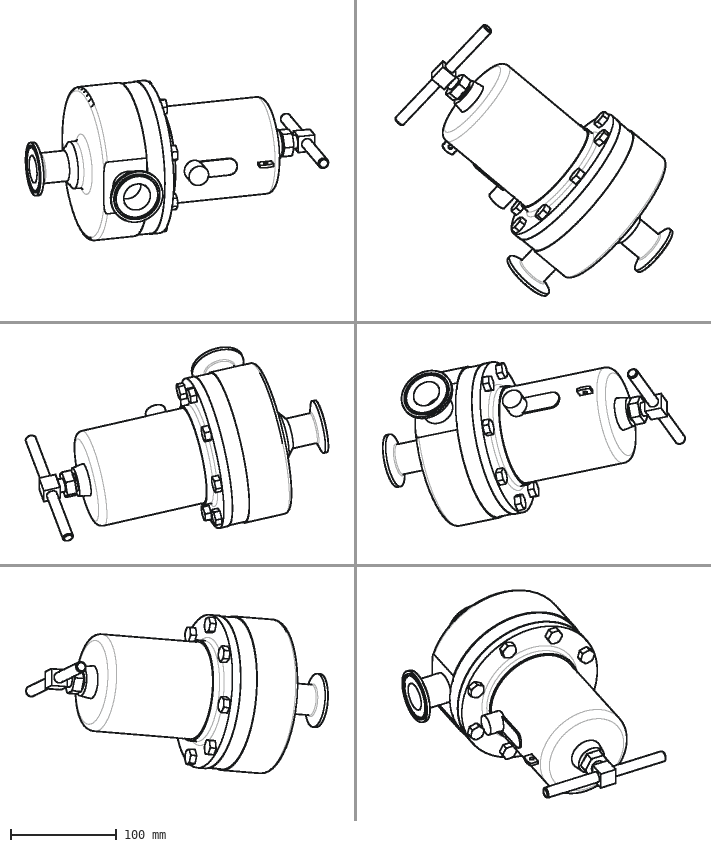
import cadquery as cq
import math

TOTAL_LENGTH = 276.0
TOTAL_WIDTH = 173.0
FRONT_Y = -TOTAL_LENGTH / 2

PIPE_R = 14.5
BORE_R = 26.2 / 2
FERRULE_R = 25.5
FERRULE_RIM = 3.0
FERRULE_LENGTH = 7.2
FERRULE_FILLET = 1.5
GASKET_GROOVE_INNER_R = 20.7
GASKET_GROOVE_OUTER_R = 22.5
GASKET_GROOVE_DEPTH = 1.0

INLET_PIPE_END = 31.7
HUB_R = 22.4
HUB_START = 38.0
HUB_FILLET = 6.3

BODY_R = 146.5 / 2
BODY_START = 49.7
BODY_END = 92.2
BODY_FILLET = 3.3
BODY_FLAT_X = 68.5
RING_R = 72.3
RING_END = 108.8
FLANGE_R = 73.0
FLANGE_END = 117.3

OUTLET_FACE_X = TOTAL_WIDTH - BODY_R
OUTLET_Y = FRONT_Y + 73.1

COLLAR_R = 48.0
COLLAR_END = 126.7
COLLAR_FILLET = 3.3
BONNET_R = 92.5 / 2
BONNET_END = 231.5
BONNET_FILLET = 6.3
CONE_BASE_R = 31.2 / 2
CONE_TOP_R = 13.8
CONE_END = 242.3
NECK_R = 8.5

NUT_START = 244.8
NUT_END = 254.2
NUT_ACROSS_FLATS = 22.5
NUT_CORNER_R = NUT_ACROSS_FLATS / math.sqrt(3)
NUT_CHAMFER = 0.8
STEM_R = 13.0 / 2
BLOCK_SIDE = 16.3
HANDLE_R = 10.2 / 2
HANDLE_LENGTH = 127.5
HANDLE_CHAMFER = 1.0
HANDLE_Y = FRONT_Y + 268.3

BOLT_COUNT = 8
BOLT_CIRCLE_R = 64.0
BOLT_CORNER_R = 7.7
BOLT_HEIGHT = 6.0
BOLT_CHAMFER = 0.5
BOLT_TURN = -7.5

PORT_R = 9.7
PORT_END_X = 61.8
PORT_Y = FRONT_Y + 145.5
PAD_R = COLLAR_R
PAD_WIDTH = 16.5
PAD_TOP_Y = FRONT_Y + 187.7
LUG_Y = FRONT_Y + 215.0
LUG_WIDTH = 13.2
LUG_THICKNESS = 2.8
LUG_SHOULDER_X = 54.0
LUG_TIP_X = 55.5
LUG_HOLE_X = 49.7
LUG_HOLE_R = 2.0


def facing_y(distance):
    """Workplane facing +Y, at a distance from the inlet face."""
    return cq.Workplane(cq.Plane((0, FRONT_Y + distance, 0), xDir=(1, 0, 0), normal=(0, 1, 0)))


def facing_x(y):
    """Workplane through the valve axis facing +X, at the given Y."""
    return cq.Workplane(cq.Plane((0, y, 0), xDir=(0, 1, 0), normal=(1, 0, 0)))


def disc(start, end, radius):
    return facing_y(start).circle(radius).extrude(end - start)


def cone(face, length, start_radius, end_radius):
    plane = face.plane
    return cq.Workplane(cq.Solid.makeCone(start_radius, end_radius, length, plane.origin, plane.zDir))


def flared_base(base_distance, direction, radius, fillet):
    """Concave fillet ring around a cylinder; direction is +1 or -1 along Y, away from the base."""
    tip = (radius, direction * fillet)
    middle_offset = fillet * (1 - math.sqrt(0.5))
    middle = (radius + middle_offset, direction * middle_offset)
    return (
        cq.Workplane("XY", origin=(0, FRONT_Y + base_distance, 0))
        .lineTo(radius + fillet, 0)
        .threePointArc(middle, tip)
        .lineTo(0, direction * fillet)
        .close()
        .revolve(360, (0, 0), (0, 1))
    )


def hexagon(base, corner_radius, height, chamfer):
    """Hexagonal prism whose +Y corners are turned down to a cone."""
    prism = base.polygon(6, 2 * corner_radius).extrude(height)
    turned = base.circle(corner_radius).extrude(height).faces(">Y").edges().chamfer(chamfer)
    return prism.intersect(turned)


def ferrule(face, pipe_length):
    """Pipe ending in a clamp ferrule; the workplane is the sealing face and looks into the pipe."""
    taper_face = face.workplane(offset=FERRULE_RIM)
    pipe = face.circle(PIPE_R).extrude(pipe_length)
    rim = face.circle(FERRULE_R).extrude(FERRULE_RIM)
    taper = cone(taper_face, FERRULE_LENGTH - FERRULE_RIM, FERRULE_R, PIPE_R)
    groove = face.circle(GASKET_GROOVE_OUTER_R).circle(GASKET_GROOVE_INNER_R).extrude(GASKET_GROOVE_DEPTH)
    blend_centre = face.workplane(offset=FERRULE_LENGTH).plane.origin
    blend_edge = cq.selectors.NearestToPointSelector(blend_centre.toTuple())
    return pipe.union(rim).union(taper).edges(blend_edge).fillet(FERRULE_FILLET).cut(groove)


def inlet():
    cone_length = HUB_START - INLET_PIPE_END
    return (
        ferrule(facing_y(0), INLET_PIPE_END)
        .union(cone(facing_y(INLET_PIPE_END), cone_length, PIPE_R, HUB_R))
        .union(disc(HUB_START, BODY_START, HUB_R))
        .union(flared_base(BODY_START, -1, HUB_R, HUB_FILLET))
    )


def body():
    housing = disc(BODY_START, BODY_END, BODY_R).faces("<Y").edges().fillet(BODY_FILLET)
    beyond_flat = facing_x(0).workplane(offset=BODY_FLAT_X).rect(TOTAL_LENGTH, 2 * BODY_R).extrude(BODY_R)
    ring = disc(BODY_END, RING_END, RING_R)
    flange = disc(RING_END, FLANGE_END, FLANGE_R)
    return housing.cut(beyond_flat).union(ring).union(flange)


def bonnet():
    shell = disc(FLANGE_END, BONNET_END, BONNET_R).faces(">Y").edges().fillet(BONNET_FILLET)
    return (
        shell.union(disc(FLANGE_END, COLLAR_END, COLLAR_R))
        .union(flared_base(FLANGE_END, 1, COLLAR_R, COLLAR_FILLET))
        .union(cone(facing_y(BONNET_END), CONE_END - BONNET_END, CONE_BASE_R, CONE_TOP_R))
        .union(disc(CONE_END, NUT_START, NECK_R))
    )


def handle():
    nut = hexagon(facing_y(NUT_START), NUT_CORNER_R, NUT_END - NUT_START, NUT_CHAMFER)
    stem = disc(NUT_END, TOTAL_LENGTH - BLOCK_SIDE, STEM_R)
    block = facing_y(TOTAL_LENGTH - BLOCK_SIDE).rect(BLOCK_SIDE, BLOCK_SIDE).extrude(BLOCK_SIDE)
    bar = facing_x(HANDLE_Y).circle(HANDLE_R).extrude(HANDLE_LENGTH / 2, both=True)
    bar = bar.faces("<X or >X").edges().chamfer(HANDLE_CHAMFER)
    return nut.union(stem).union(block).union(bar)


def bolt_heads():
    head = hexagon(facing_y(FLANGE_END), BOLT_CORNER_R, BOLT_HEIGHT, BOLT_CHAMFER)
    axis_start = (0, 0, 0)
    axis_end = (0, 1, 0)
    pitch = 360 / BOLT_COUNT
    heads = cq.Workplane()
    for index in range(BOLT_COUNT):
        placed = (
            head.rotate(axis_start, axis_end, BOLT_TURN)
            .translate((BOLT_CIRCLE_R, 0, 0))
            .rotate(axis_start, axis_end, (index + 0.5) * pitch)
        )
        heads = heads.add(placed)
    return heads.combine()


def port():
    return facing_x(PORT_Y).circle(PORT_R).extrude(PORT_END_X)


def curved_pad():
    """Thin round-ended pad that follows the bonnet, from the port towards the handle."""
    straight = PAD_TOP_Y - PAD_WIDTH / 2 - PORT_Y
    column = (
        facing_x(PORT_Y + straight / 2)
        .slot2D(straight + PAD_WIDTH, PAD_WIDTH)
        .extrude(PAD_R)
    )
    return column.intersect(disc(FLANGE_END, BONNET_END, PAD_R))


def lug():
    half = LUG_WIDTH / 2
    plate = (
        cq.Workplane("XY", origin=(0, LUG_Y, 0))
        .moveTo(0, -half)
        .lineTo(LUG_SHOULDER_X, -half)
        .threePointArc((LUG_TIP_X, 0), (LUG_SHOULDER_X, half))
        .lineTo(0, half)
        .close()
        .extrude(LUG_THICKNESS / 2, both=True)
    )
    hole = (
        cq.Workplane("XY", origin=(LUG_HOLE_X, LUG_Y, 0))
        .circle(LUG_HOLE_R)
        .extrude(LUG_THICKNESS, both=True)
    )
    return plate.cut(hole)


outlet_face = cq.Workplane(cq.Plane((OUTLET_FACE_X, OUTLET_Y, 0), xDir=(0, 1, 0), normal=(-1, 0, 0)))
outlet_length = OUTLET_FACE_X - BODY_FLAT_X

valve = (
    body()
    .union(inlet())
    .union(ferrule(outlet_face, outlet_length))
    .union(bonnet())
    .union(handle())
    .union(bolt_heads())
    .union(port())
    .union(curved_pad())
    .union(lug())
)

inlet_bore = disc(0, BODY_START, BORE_R)
outlet_bore = outlet_face.circle(BORE_R).extrude(outlet_length)
result = valve.cut(inlet_bore).cut(outlet_bore)